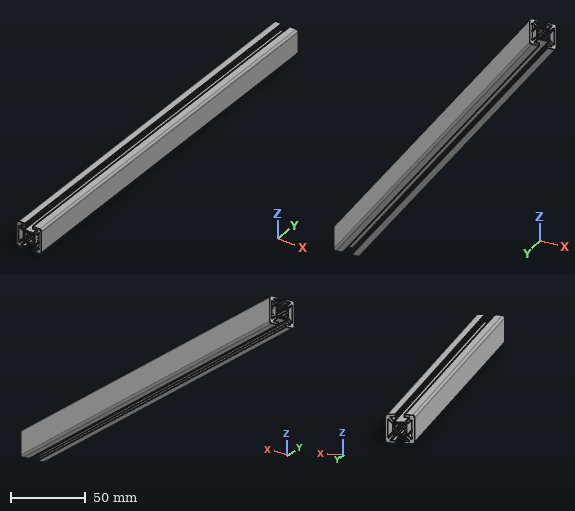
import cadquery as cq
import math


SIZE = 20.0
LENGTH = 300.0
CORNER_RADIUS = 1.6
WALL = 1.8
CAVITY_SIZE = SIZE - 2 * WALL
CAVITY_CHAMFER = 2.2
SLOT_WIDTH = 6.2

WEB = 1.95
TUBE_SIZE = 9.55
FLOOR_WIDTH = 8.3

BORE_SIZE = 7.9
BORE_CHAMFER = 0.8
RIDGE_WIDTH = 2.45
RIDGE_HEIGHT = 0.7

AXIS_START = (0, 0, 0)
AXIS_END = (0, 1, 0)


def section():
    """Workplane on the -Y end, with local x along +X and local y along +Z."""
    return cq.Workplane(
        cq.Plane(origin=(0, -LENGTH / 2, 0), xDir=(1, 0, 0), normal=(0, -1, 0))
    )


def bar(width, height):
    """Full-length rectangular bar centred on the Y axis."""
    return section().rect(width, height).extrude(-LENGTH)


def turned(body, angle):
    """Copy of a body turned about the Y axis."""
    return body.rotate(AXIS_START, AXIS_END, angle)


def on_four_sides(body):
    """Body repeated at quarter turns about the Y axis."""
    ring = body
    for angle in (90, 180, 270):
        ring = ring.union(turned(body, angle))
    return ring


def outer_walls():
    """Rounded square tube with chamfered inner corners, slotted on top and bottom."""
    block = bar(SIZE, SIZE).edges("|Y").fillet(CORNER_RADIUS)
    cavity = bar(CAVITY_SIZE, CAVITY_SIZE).edges("|Y").chamfer(CAVITY_CHAMFER)
    slots = bar(SLOT_WIDTH, SIZE)
    return block.cut(cavity).cut(slots)


def webs():
    """Two crossing diagonal plates that end inside the solid corners of the outer walls."""
    chamfer_distance = (CAVITY_SIZE - CAVITY_CHAMFER) / math.sqrt(2)
    reach = chamfer_distance + WALL / 2
    plate = bar(2 * reach, WEB)
    return turned(plate, 45).union(turned(plate, -45))


def channels():
    """Square-sided channels against the tube that trim the feet of the webs."""
    depth = (CAVITY_SIZE - TUBE_SIZE) / 2
    channel = bar(FLOOR_WIDTH, depth).translate((0, 0, (TUBE_SIZE + depth) / 2))
    return on_four_sides(channel)


def bore():
    """Chamfered square bore with a rounded ridge along the middle of each side."""
    radius = (RIDGE_WIDTH ** 2 / 4 + RIDGE_HEIGHT ** 2) / (2 * RIDGE_HEIGHT)
    ridge_centre = BORE_SIZE / 2 - RIDGE_HEIGHT + radius
    ridge = section().center(0, ridge_centre).circle(radius).extrude(-LENGTH)
    square = bar(BORE_SIZE, BORE_SIZE).edges("|Y").chamfer(BORE_CHAMFER)
    return square.cut(on_four_sides(ridge))


inner_frame = webs().union(bar(TUBE_SIZE, TUBE_SIZE)).cut(channels()).cut(bore())
result = outer_walls().union(inner_frame)